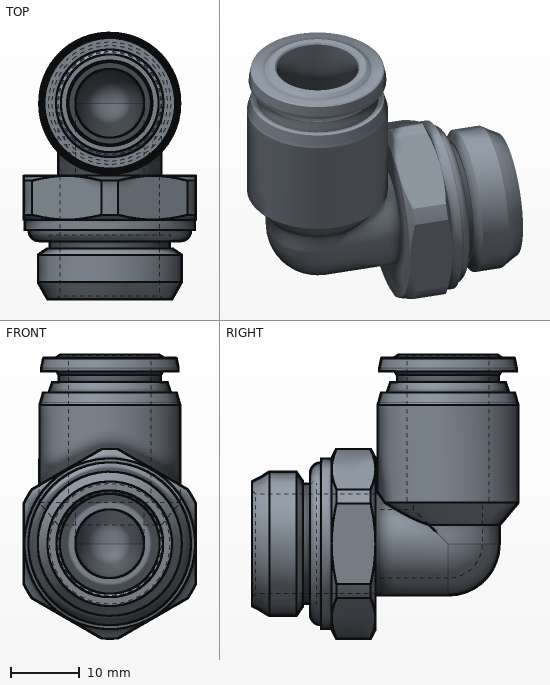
import cadquery as cq


elbow_radius = 7.53
bore_radius = 10.0 / 2

body_radius = 20.5 / 2
body_bottom = 6.0
cone_bottom = 2.73
body_top = 20.15
body_bevel_radius = 10.15
body_bevel_top = 20.5
shoulder_radius = 9.7
shoulder_top = 22.0
step_base_radius = 8.9
step_top_radius = 8.4
step_top = 23.5
neck_radius = 14.9 / 2
neck_top = 24.5
neck_flare_radius = 7.75
flange_bottom = 25.05
flange_radius = 20.0 / 2
flange_rim_top = 25.5
flange_taper_radius = 9.7
flange_taper_top = 26.95
flange_top_radius = 9.5
flange_top = 27.1
lip_base_radius = 7.8
lip_top_radius = 7.1
lip_top = 27.55
socket_radius = 12 / 2
socket_mouth_bevel = 0.2
socket_floor = body_bottom

hex_across_flats = 25.0
hex_corner_diameter = 27.62
hex_sides = 6
hex_start = 10.5
hex_end = 16.95
hex_bevel_length = 0.75

collar_radius = 24.8 / 2
collar_end = 18.45
seal_section_radius = 1.6
seal_ring_radius = 10.2
groove_radius = 17.5 / 2
groove_end = 21.1
thread_radius = 20.95 / 2
thread_root_radius = 9.1
thread_start = 22.05
thread_end = 25.95
stud_end_radius = 9.05
stud_end = 28.5
stud_bore_radius = 14.5 / 2
stud_mouth_radius = 7.77
stud_bore_floor = hex_start


def turned(profile):
    """Solid of revolution about Z from (radius, height) points."""
    return cq.Workplane("XZ").polyline(profile).close().revolve(360, (0, 0), (0, 1))


def along_stud(shape):
    """Turn a shape built along +Z so that it points along -Y."""
    return shape.rotate((0, 0, 0), (1, 0, 0), 90)


def rod(radius, start, end):
    return cq.Workplane("XY").workplane(offset=start).circle(radius).extrude(end - start)


def round_elbow(radius, rise, reach):
    """Two equal rods meeting in a ball at the origin."""
    return (
        cq.Workplane("XY").sphere(radius)
        .union(rod(radius, 0, rise))
        .union(along_stud(rod(radius, 0, reach)))
    )


def socket_body():
    return turned([
        (0, cone_bottom),
        (elbow_radius, cone_bottom),
        (body_radius, body_bottom),
        (body_radius, body_top),
        (body_bevel_radius, body_bevel_top),
        (shoulder_radius, shoulder_top),
        (step_base_radius, shoulder_top),
        (step_top_radius, step_top),
        (neck_radius, step_top),
        (neck_radius, neck_top),
        (neck_flare_radius, flange_bottom),
        (flange_radius, flange_bottom),
        (flange_radius, flange_rim_top),
        (flange_taper_radius, flange_taper_top),
        (flange_top_radius, flange_top),
        (lip_base_radius, flange_top),
        (lip_top_radius, lip_top),
        (0, lip_top),
    ])


def hexagon():
    """Hexagon with a corner on the Z axis, turned corners and bevelled ends."""
    corner_radius = hex_corner_diameter / 2
    prism = (
        cq.Workplane("XY").workplane(offset=hex_start)
        .polygon(hex_sides, hex_across_flats, circumscribed=True)
        .extrude(hex_end - hex_start)
    )
    envelope = turned([
        (0, hex_start),
        (collar_radius, hex_start),
        (corner_radius, hex_start + hex_bevel_length),
        (corner_radius, hex_end - hex_bevel_length),
        (collar_radius, hex_end),
        (0, hex_end),
    ])
    return along_stud(prism.intersect(envelope))


def stud():
    return along_stud(turned([
        (0, hex_start),
        (groove_radius, hex_start),
        (groove_radius, hex_end),
        (collar_radius, hex_end),
        (collar_radius, collar_end),
        (groove_radius, collar_end),
        (groove_radius, groove_end),
        (thread_root_radius, groove_end),
        (thread_radius, thread_start),
        (thread_radius, thread_end),
        (stud_end_radius, stud_end),
        (0, stud_end),
    ]))


def seal_ring():
    """O-ring half sunk into the front of the collar."""
    ring = (
        cq.Workplane("XZ")
        .center(seal_ring_radius, collar_end)
        .circle(seal_section_radius)
        .revolve(360, (-seal_ring_radius, 0), (-seal_ring_radius, 1))
    )
    return along_stud(ring.intersect(rod(collar_radius, hex_end, stud_end)))


def counterbore(radius, mouth_radius, floor, mouth):
    """Cutter for a blind bore with a 45 degree bevelled mouth."""
    bevel = mouth_radius - radius
    return turned([
        (0, floor),
        (radius, floor),
        (radius, mouth - bevel),
        (mouth_radius, mouth),
        (0, mouth),
    ])


outside = (
    round_elbow(elbow_radius, body_bottom, hex_end)
    .union(socket_body())
    .union(hexagon())
    .union(stud())
    .union(seal_ring())
)

socket_mouth_radius = socket_radius + socket_mouth_bevel
result = (
    outside
    .cut(round_elbow(bore_radius, lip_top, stud_end))
    .cut(counterbore(socket_radius, socket_mouth_radius, socket_floor, lip_top))
    .cut(along_stud(counterbore(stud_bore_radius, stud_mouth_radius, stud_bore_floor, stud_end)))
)